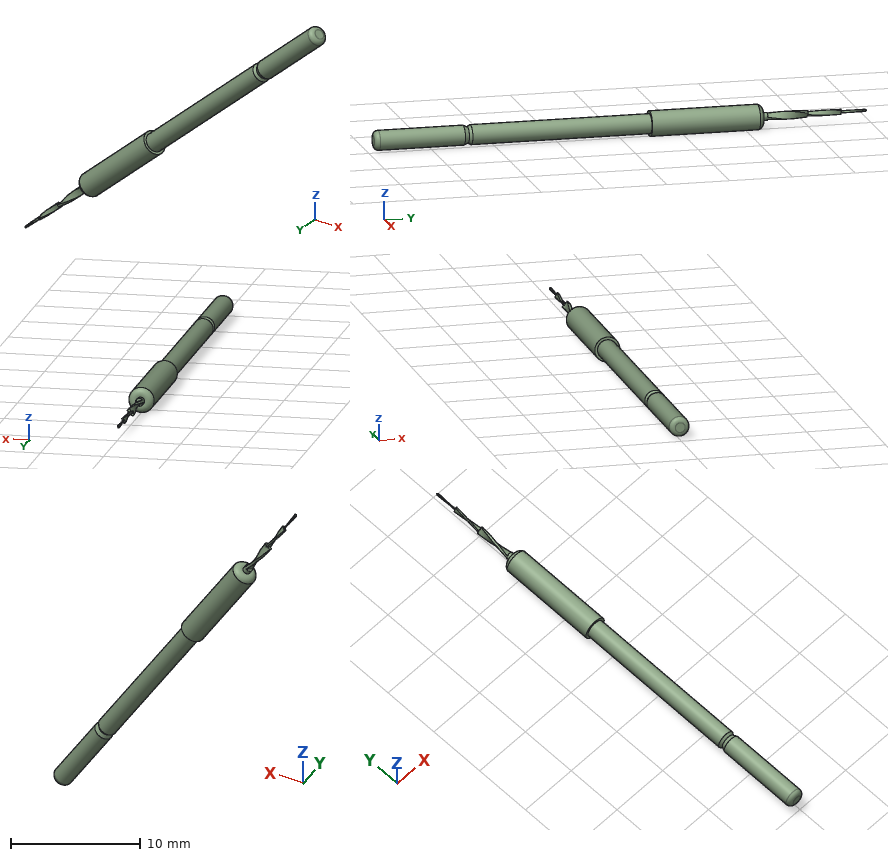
import cadquery as cq

total_length = 39.3
shank_diameter = 1.57
sleeve_diameter = 2.0
sleeve_start = 22.0
sleeve_end = 30.95
shank_end_round = 0.4

crown_height = 0.35
crown_mid_radius = 0.85
crown_mid_drop = 0.1

groove_start = 7.15
groove_end = 7.75
groove_bottom = 7.5
groove_depth = 0.15

neck_diameter = 0.63
flute_start = 31.35
drill_steps = [
    (neck_diameter, 34.6, 33.33),
    (0.45, 37.25, 36.55),
    (0.2, total_length, 38.5),
]
twist_pitch = 10.2
web_ratio = 0.35
web_width_ratio = 1.5
point_length = 0.1


def plane_at(position):
    """Section plane across the axis, facing +Y, with its local y along +Z."""
    return cq.Plane(origin=(0, position, 0), xDir=(-1, 0, 0), normal=(0, 1, 0))


def cylinder(diameter, start, end):
    return cq.Workplane(plane_at(start)).circle(diameter / 2).extrude(end - start)


def make_groove():
    radius = shank_diameter / 2
    return (
        cq.Workplane("XY")
        .moveTo(radius, groove_start)
        .lineTo(radius - groove_depth, groove_bottom)
        .lineTo(radius, groove_end)
        .close()
        .revolve(360, (0, 0, 0), (0, 1, 0))
    )


def make_sleeve():
    radius = sleeve_diameter / 2
    return (
        cq.Workplane("XY")
        .moveTo(0, sleeve_start)
        .lineTo(radius, sleeve_start)
        .lineTo(radius, sleeve_end - crown_height)
        .threePointArc((crown_mid_radius, sleeve_end - crown_mid_drop), (neck_diameter / 2, sleeve_end))
        .lineTo(0, sleeve_end)
        .close()
        .revolve(360, (0, 0, 0), (0, 1, 0))
    )


def make_handle():
    shank = cylinder(shank_diameter, 0, sleeve_start).faces("<Y").edges().fillet(shank_end_round)
    return shank.cut(make_groove()).union(make_sleeve())


def make_twisted_step(diameter, start, end, flat_position):
    """Drill step with a flat web that twists right-handed along the axis."""
    length = end - start
    start_angle = 360 * (start - flat_position) / twist_pitch
    web = (
        cq.Workplane(plane_at(start))
        .transformed(rotate=(0, 0, start_angle))
        .rect(web_ratio * diameter, web_width_ratio * diameter)
        .twistExtrude(length, 360 * length / twist_pitch)
    )
    return web.intersect(cylinder(diameter, start, end))


def make_point_envelope():
    """Solid of revolution that sharpens the tip to a cone."""
    tip_radius = drill_steps[-1][0] / 2
    return (
        cq.Workplane("XY")
        .moveTo(0, sleeve_end)
        .lineTo(sleeve_diameter, sleeve_end)
        .lineTo(sleeve_diameter, drill_steps[-2][1])
        .lineTo(tip_radius, drill_steps[-2][1])
        .lineTo(tip_radius, total_length - point_length)
        .lineTo(0, total_length)
        .close()
        .revolve(360, (0, 0, 0), (0, 1, 0))
    )


def make_drill():
    drill = cylinder(neck_diameter, sleeve_end, flute_start)
    step_start = flute_start
    for diameter, step_end, flat_position in drill_steps:
        step = make_twisted_step(diameter, step_start, step_end, flat_position)
        drill = drill.union(step)
        step_start = step_end
    return drill.intersect(make_point_envelope())


result = make_handle().union(make_drill())